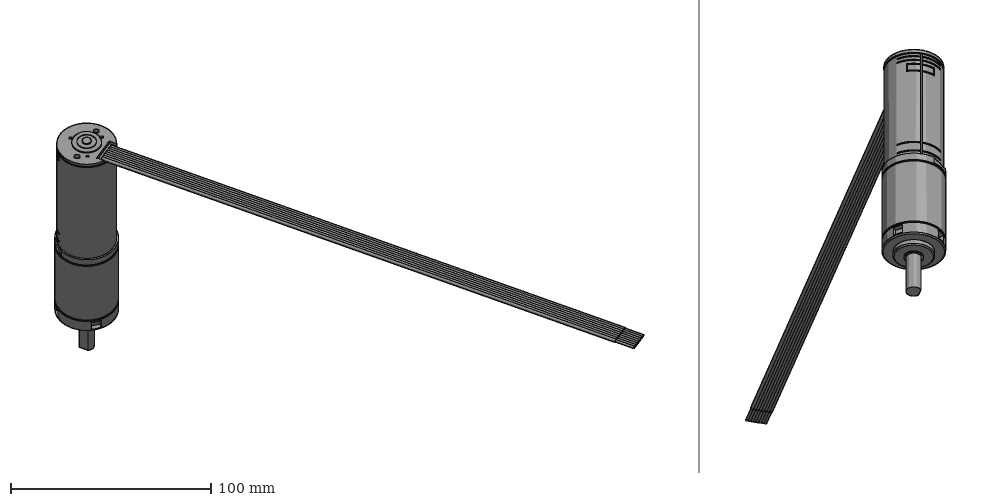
import cadquery as cq


clearance = 3.3

gearbox_radius = 16.0
boss_radius = 10.5
collar_radius = 5.0
shaft_radius = 4.0
flat_distance = 3.1
boss_bottom = 21.5
collar_height = 0.5
flange_bottom = 24.5
lower_joint = 31.7
upper_joint = 69.5
gearbox_top = 73.8
gearbox_chamfer = 0.5
joint_width = 0.5
joint_depth = 0.3
pocket_width = 5.2
pocket_depth = 2.5
pocket_bottom = 25.8
pocket_top = 30.5
corner_angles = [45, 135, 225, 315]
recess_bottom = 70.5
recess_angle = 225

motor_radius = 15.0
motor_top = 138.5
cover_thickness = 2.3
slit_width = 0.5
slit_depth = 0.3
seam_width = 1.0
lock_width = 14.5
lock_bottom = 125.5
lock_top = 130.0
slit_levels = [81.3, 76.0, 132.0, 134.2]
slit_span = 22.2

cap_neck_radius = 7.0
cap_radius = 7.5
cap_hub_radius = 5.0
cap_nub_radius = 2.3
cap_rim_bottom = 139.0
cap_rim_top = 139.8
cap_hub_top = 140.0
overall_height = 140.8
screw_hole_radius = 1.47
screw_hole_offset = 10.5
pin_hole_radius = 0.5
pin_hole_offset = 9.0
pin_hole_angles = [60, 180, 300]
end_hole_depth = 2.5

overall_length = 326.5
wire_count = 8
wire_radius = 0.9
wire_pitch = 1.37
wire_center_z = 137.2
core_radius = 0.5
core_length = 10.5
cable_start = 11.0
cable_end = overall_length - gearbox_radius
cable_slot_start = 9.0
cable_slot_width = 13.7


def cylinder(radius, bottom, top):
    return cq.Workplane("XY").workplane(offset=bottom).circle(radius).extrude(top - bottom)


def block(x_range, width, bottom, top):
    """Box between two X values, centred on Y = 0."""
    start, end = x_range
    size = (end - start, width, top - bottom)
    return cq.Workplane("XY").box(*size, centered=(False, True, False)).translate((start, 0, bottom))


def ring(outer_radius, depth, bottom, height):
    """Ring of material removed by a groove of the given depth in a cylinder."""
    outer = cylinder(outer_radius + depth, bottom, bottom + height)
    return outer.cut(cylinder(outer_radius - depth, bottom, bottom + height))


def turned(shape, angle):
    return shape.rotate((0, 0, 0), (0, 0, 1), angle)


def make_gearbox():
    housing = cylinder(gearbox_radius, flange_bottom, gearbox_top).faces("<Z").chamfer(gearbox_chamfer)
    for joint in (lower_joint, upper_joint):
        housing = housing.cut(ring(gearbox_radius, joint_depth, joint - joint_width / 2, joint_width))

    outer_x = gearbox_radius + clearance
    pocket = block((gearbox_radius - pocket_depth, outer_x), pocket_width, pocket_bottom, pocket_top)
    for angle in corner_angles:
        housing = housing.cut(turned(pocket, angle))

    recess = block((motor_radius, outer_x), 2 * gearbox_radius, recess_bottom, gearbox_top)
    housing = housing.cut(turned(recess, recess_angle))

    boss = cylinder(boss_radius, boss_bottom, flange_bottom).faces("<Z").chamfer(gearbox_chamfer)
    collar = cylinder(collar_radius, boss_bottom - collar_height, boss_bottom)
    shaft = cylinder(shaft_radius, 0, boss_bottom)
    flat_top = boss_bottom - collar_height
    flat_cut = block((flat_distance, 2 * shaft_radius), 2 * shaft_radius, 0, flat_top)
    shaft = shaft.cut(turned(flat_cut, -90))
    return housing.union(boss).union(collar).union(shaft)


def make_motor_slits():
    """Shallow seam, lock outline and slits of the rolled housing, all on its -X side."""
    shell = ring(motor_radius, slit_depth, gearbox_top, motor_top - gearbox_top)
    side = (-motor_radius - clearance, 0)
    marks = block(side, seam_width, gearbox_top, motor_top - cover_thickness)
    for level in slit_levels:
        marks = marks.union(block(side, slit_span, level, level + slit_width))
    lock = block(side, lock_width, lock_bottom, lock_top)
    lock_core = block(side, lock_width - 2 * slit_width, lock_bottom + slit_width, lock_top - slit_width)
    return shell.intersect(marks.union(lock.cut(lock_core)))


def make_bearing_cap():
    cap = cylinder(cap_neck_radius, motor_top, cap_rim_bottom)
    cap = cap.union(cylinder(cap_radius, cap_rim_bottom, cap_rim_top))
    cap = cap.union(cylinder(cap_hub_radius, cap_rim_top, cap_hub_top))
    cap = cap.union(cylinder(cap_nub_radius, cap_hub_top, overall_height))
    return cap


def make_end_holes():
    bottom = motor_top - end_hole_depth
    screw_hole = cylinder(screw_hole_radius, bottom, motor_top).translate((screw_hole_offset, 0, 0))
    holes = turned(screw_hole, 90).union(turned(screw_hole, -90))
    pin_hole = cylinder(pin_hole_radius, bottom, motor_top).translate((pin_hole_offset, 0, 0))
    for angle in pin_hole_angles:
        holes = holes.union(turned(pin_hole, angle))
    return holes


def make_cable():
    """Parallel wires that merge along their sides, each with a bare core at its free end.

    The unions keep every wire's own faces, so they are not merged into larger ones.
    """
    insulation_end = cable_end - core_length
    cable = None
    for index in range(wire_count):
        y = (index - (wire_count - 1) / 2) * wire_pitch
        section = cq.Plane((cable_start, y, wire_center_z), xDir=(0, 0, 1), normal=(1, 0, 0))
        start = cq.Workplane(section)
        wire = start.circle(wire_radius).extrude(insulation_end - cable_start)
        core = start.circle(core_radius).extrude(cable_end - cable_start)
        wire = wire.union(core, clean=False)
        cable = wire if cable is None else cable.union(wire, clean=False)
    return cable


def make_motor():
    motor = cylinder(motor_radius, gearbox_top, motor_top)
    cover_joint = motor_top - cover_thickness
    motor = motor.cut(ring(motor_radius, slit_depth, cover_joint, slit_width))
    motor = motor.cut(make_motor_slits())
    motor = motor.cut(make_end_holes())
    slot_range = (cable_slot_start, motor_radius + clearance)
    motor = motor.cut(block(slot_range, cable_slot_width, cover_joint + slit_width, motor_top))
    return motor.union(make_bearing_cap()).union(make_cable(), clean=False)


gearbox = make_gearbox()
motor = make_motor()
result = cq.Compound.makeCompound([gearbox.val(), motor.val()])